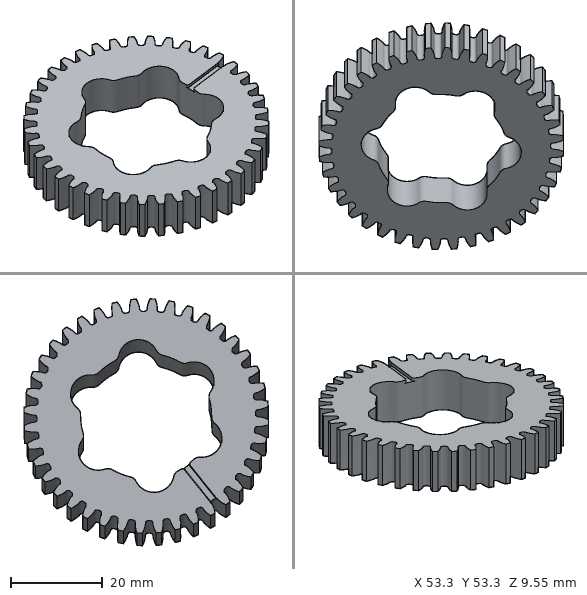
import cadquery as cq
import math

overall_width = 53.25
thickness = 9.55

tooth_count = 40
pressure_angle = math.radians(14.5)
root_radius = 23.8
root_fillet = 0.65
flank_points = 5

lobe_count = 6
lobe_radius = 4.3
lobe_centre_radius = 13.15
bore_radius = 14.25
bore_fillet = 1.95

slot_width = 1.5
slot_depth = 0.75
slot_mouth_fillet = 0.5


def polar(radius, angle):
    """Point at a radius and an angle from +X."""
    return (radius * math.cos(angle), radius * math.sin(angle))


def involute_sweep(roll):
    """Polar angle swept by an involute after unrolling through the roll angle."""
    return roll - math.atan(roll)


pitch_angle = 2 * math.pi / tooth_count
base_half_tooth = pitch_angle / 4 + involute_sweep(math.tan(pressure_angle))
tip_to_base_ratio = (tooth_count + 2) / (tooth_count * math.cos(pressure_angle))
tip_roll = math.sqrt(tip_to_base_ratio**2 - 1)
tip_half_tooth = base_half_tooth - involute_sweep(tip_roll)

tip_radius = overall_width / 2 / math.cos(pitch_angle / 2 - tip_half_tooth)
base_radius = tip_radius / tip_to_base_ratio


def gear_blank():
    """Involute spur gear with a tooth gap centred on +X."""
    fillet_centre_radius = root_radius + root_fillet
    fillet_angle = math.asin(root_fillet / fillet_centre_radius)
    fillet_top_radius = fillet_centre_radius * math.cos(fillet_angle)
    root_half_tooth = base_half_tooth + fillet_angle

    rolls = [tip_roll * step / (flank_points - 1) for step in range(flank_points)]

    def flank(tooth_angle, side):
        """Involute points from base circle to tip on one side of a tooth (side is -1 or 1)."""
        return [
            polar(
                base_radius * math.hypot(1, roll),
                tooth_angle + side * (base_half_tooth - involute_sweep(roll)),
            )
            for roll in rolls
        ]

    def fillet_middle(tooth_angle, side):
        """Middle of the root fillet arc on one side of a tooth (side is -1 or 1)."""
        centre_angle = tooth_angle + side * root_half_tooth
        middle_angle = centre_angle + math.pi + side * (math.pi / 4 - fillet_angle / 2)
        centre_x, centre_y = polar(fillet_centre_radius, centre_angle)
        offset_x, offset_y = polar(root_fillet, middle_angle)
        return (centre_x + offset_x, centre_y + offset_y)

    outline = cq.Workplane("XY").moveTo(*polar(root_radius, pitch_angle / 2 - root_half_tooth))
    for index in range(tooth_count):
        middle = pitch_angle * (index + 0.5)
        rise_start = middle - base_half_tooth
        fall_end = middle + base_half_tooth
        rising = flank(middle, -1)
        falling = flank(middle, 1)[::-1]
        rising_tangents = [polar(1, rise_start), polar(1, rise_start + tip_roll)]
        falling_tangents = [polar(-1, fall_end - tip_roll), polar(-1, fall_end)]
        outline = (
            outline
            .threePointArc(fillet_middle(middle, -1), polar(fillet_top_radius, rise_start))
            .lineTo(*rising[0])
            .spline(rising[1:], tangents=rising_tangents, includeCurrent=True)
            .threePointArc(polar(tip_radius, middle), falling[0])
            .spline(falling[1:], tangents=falling_tangents, includeCurrent=True)
            .lineTo(*polar(fillet_top_radius, fall_end))
            .threePointArc(fillet_middle(middle, 1), polar(root_radius, middle + root_half_tooth))
            .threePointArc(
                polar(root_radius, middle + pitch_angle / 2),
                polar(root_radius, middle + pitch_angle - root_half_tooth),
            )
        )
    return outline.close().extrude(thickness)


def bore_cutter():
    """Through bore: six lobes joined by filleted arcs about the gear axis, one lobe on +X."""
    spacing = 2 * math.pi / lobe_count
    fillet_radius_out = bore_radius + bore_fillet
    lobe_to_fillet = lobe_radius + bore_fillet

    fillet_offset = math.acos(
        (fillet_radius_out**2 + lobe_centre_radius**2 - lobe_to_fillet**2)
        / (2 * fillet_radius_out * lobe_centre_radius)
    )

    def fillet_arc(lobe_angle, side):
        """Lobe end, middle and bore end of the fillet beside a lobe (side is -1 or 1)."""
        fillet_angle = lobe_angle + side * fillet_offset
        centre = cq.Vector(*polar(fillet_radius_out, fillet_angle))
        to_lobe = (cq.Vector(*polar(lobe_centre_radius, lobe_angle)) - centre).normalized()
        to_axis = (cq.Vector() - centre).normalized()
        to_middle = (to_lobe + to_axis).normalized()
        return [centre + way * bore_fillet for way in (to_lobe, to_middle, to_axis)]

    outline = cq.Workplane("XY").moveTo(*fillet_arc(0, -1)[0].toTuple()[:2])
    for index in range(lobe_count):
        lobe_angle = spacing * index
        lobe_end, fillet_mid, bore_start = fillet_arc(lobe_angle, 1)
        next_lobe, next_fillet_mid, bore_end = fillet_arc(lobe_angle + spacing, -1)
        outline = (
            outline
            .threePointArc(polar(lobe_centre_radius + lobe_radius, lobe_angle), lobe_end)
            .threePointArc(fillet_mid, bore_start)
            .threePointArc(polar(bore_radius, lobe_angle + spacing / 2), bore_end)
            .threePointArc(next_fillet_mid, next_lobe)
        )
    return outline.close().extrude(thickness)


def cut_slot(gear):
    """Cut the index slot from the bore out to a tooth gap and round its mouth at the bore."""
    slotted = gear.cut(
        cq.Workplane("XY")
        .box(slot_width, tip_radius, slot_depth, centered=(True, False, False))
        .translate((0, 0, thickness - slot_depth))
    )
    mouth = cq.selectors.BoxSelector(
        (-slot_width, 0, thickness - slot_depth),
        (slot_width, bore_radius, thickness),
    )
    return slotted.edges("|Z").edges(mouth).fillet(slot_mouth_fillet)


result = cut_slot(gear_blank().cut(bore_cutter()))